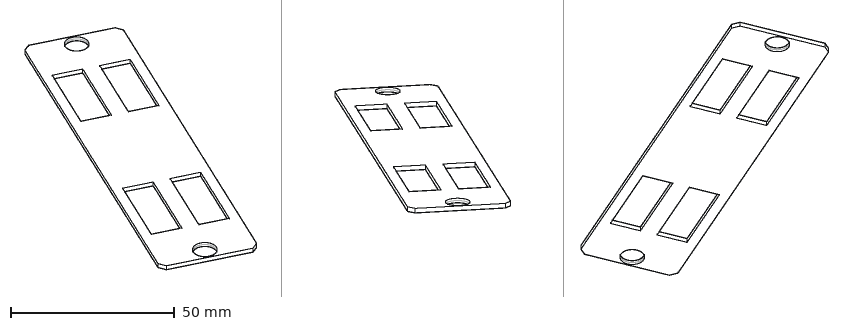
import cadquery as cq

length = 125.0
width = 32.0
thickness = 1.5
corner_chamfer = 2.0

hole_diameter = 7.5
hole_spacing = 116.5

window_length = 26.0
window_width = 9.9
window_spacing_x = 64.0
window_spacing_y = 15.4

plate = (
    cq.Workplane("XY")
    .box(length, width, thickness)
    .edges("|Z")
    .chamfer(corner_chamfer)
)

mounting_holes = (
    cq.Workplane("XY")
    .rarray(hole_spacing, 1.2, 2, 1)
    .circle(hole_diameter / 2)
    .extrude(thickness, both=True)
)

windows = (
    cq.Workplane("XY")
    .rarray(window_spacing_x, window_spacing_y, 2, 2)
    .rect(window_length, window_width)
    .extrude(thickness, both=True)
)

result = plate.cut(mounting_holes).cut(windows)